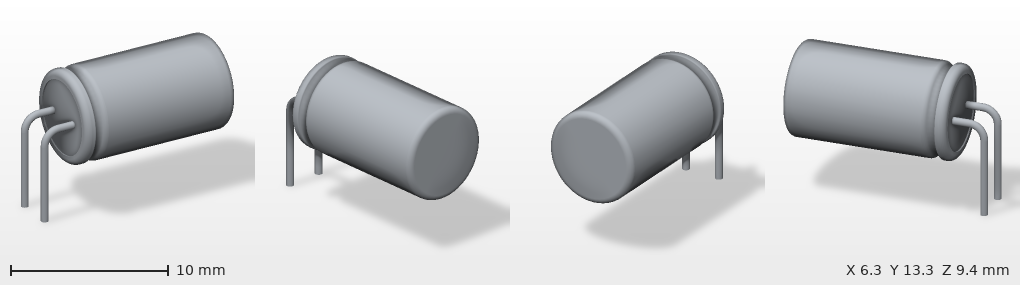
import cadquery as cq
import math

can_diameter = 6.3
can_length = 11.0
end_round = 0.4

groove_position = 1.025
groove_radius = 0.32
groove_body_blend = 0.4
groove_lip_blend = 0.1

seal_diameter = 5.04
seal_depth = 0.1

lead_diameter = 0.5
lead_pitch = 2.5
lead_straight = 1.0
bend_radius = 1.0
lead_drop = 6.25

can_radius = can_diameter / 2


def on_arc(center, radius, angle):
    """Point (radial, axial) on a circle, angle in degrees from the radial direction."""
    a = math.radians(angle)
    return (center[0] + radius * math.cos(a), center[1] + radius * math.sin(a))


def groove_blend(blend_radius, side):
    """Start, middle and end of the blend between can wall and groove; side is +1 or -1 along Y."""
    reach = math.sqrt((groove_radius + blend_radius) ** 2 - blend_radius**2)
    center = (can_radius - blend_radius, groove_position + side * reach)
    sweep = -side * math.degrees(math.atan2(reach, blend_radius))
    return [on_arc(center, blend_radius, sweep * part) for part in (0, 0.5, 1)]


def make_can():
    lip_wall, lip_middle, lip_groove = groove_blend(groove_lip_blend, -1)
    body_wall, body_middle, body_groove = groove_blend(groove_body_blend, 1)
    flat_radius = can_radius - end_round
    rim_center = (flat_radius, end_round)
    far_center = (flat_radius, can_length - end_round)
    profile = (
        cq.Workplane("XY")
        .lineTo(flat_radius, 0)
        .threePointArc(on_arc(rim_center, end_round, -45), (can_radius, end_round))
        .lineTo(*lip_wall)
        .threePointArc(lip_middle, lip_groove)
        .threePointArc((can_radius - groove_radius, groove_position), body_groove)
        .threePointArc(body_middle, body_wall)
        .lineTo(*on_arc(far_center, end_round, 0))
        .threePointArc(on_arc(far_center, end_round, 45), (flat_radius, can_length))
        .lineTo(0, can_length)
        .close()
    )
    return profile.revolve(360, (0, 0, 0), (0, 1, 0))


def make_seal_recess():
    return cq.Workplane("XZ").circle(seal_diameter / 2).extrude(-seal_depth)


def make_lead(x):
    path = (
        cq.Workplane("YZ", origin=(x, 0, 0))
        .moveTo(seal_depth, 0)
        .lineTo(-lead_straight, 0)
        .radiusArc((-lead_straight - bend_radius, -bend_radius), -bend_radius)
        .lineTo(-lead_straight - bend_radius, -lead_drop)
    )
    section = cq.Workplane("XZ", origin=(x, seal_depth, 0)).circle(lead_diameter / 2)
    return section.sweep(path)


result = make_can().cut(make_seal_recess())
for side in (-1, 1):
    result = result.union(make_lead(side * lead_pitch / 2))